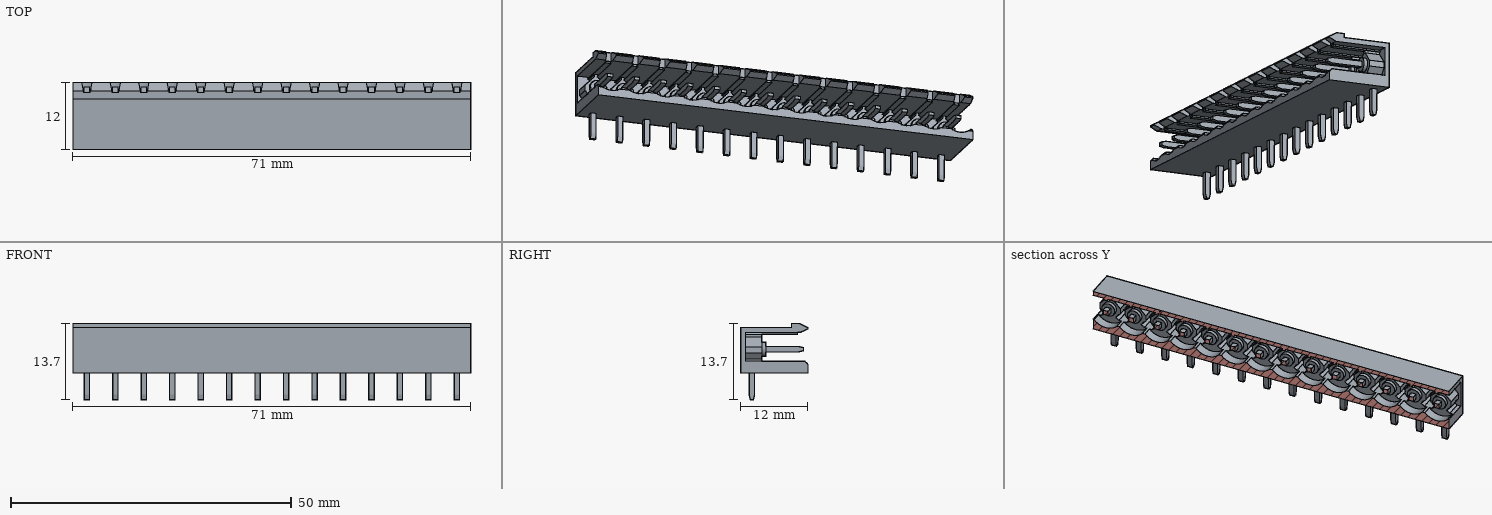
import cadquery as cq


length = 71.0
pole_count = 14
pin_pitch = 5.08
first_pin_x = (length - (pole_count - 1) * pin_pitch) / 2

depth = 12.0
front_wall = 0.85
floor_z = 2.1
ceiling_z = 7.25
roof_z = 8.2
floor_chamfer = 0.6

nose_top_z = 8.9
nose_tip_low_z = 7.9
nose_tip_high_z = 8.1
nose_step_y = 9.0
nose_crest_y = 10.5
nose_under_y = 10.65
notch_end_y = 10.2
notch_inner_width = 1.15
notch_outer_width = 1.85

pin_width = 1.0
pin_tip_width = 0.6
pin_taper = 0.85
pin_axis_z = 4.25
pin_axis_y = 2.0
pin_bottom_z = -4.75
pin_end_y = 11.2

boss_end_y = 3.75
boss_half_width = 2.05
neck_half_width = 0.3
boss_low_half_width = 1.15
boss_flat_low_z = 3.6
boss_flat_high_z = 4.7
boss_low_z = 2.55
boss_high_z = 6.45
foot_half_width = 1.8
collar_radius = 1.3
collar_length = 0.7
trough_radius = 3.1
rib_end_y = 10.15
rib_bottom_z = 6.9
rib_bottom_width = 1.15
rib_top_width = 0.6


def make_housing():
    """Channel profile with the latching nose, extruded over the full length."""
    return (
        cq.Workplane("YZ")
        .polyline([
            (0, 0),
            (depth, 0),
            (depth, floor_z - floor_chamfer),
            (depth - floor_chamfer, floor_z),
            (front_wall, floor_z),
            (front_wall, ceiling_z),
            (nose_under_y, ceiling_z),
            (depth, nose_tip_low_z),
            (depth, nose_tip_high_z),
            (nose_crest_y, nose_top_z),
            (nose_step_y, nose_top_z),
            (nose_step_y, roof_z),
            (0, roof_z),
        ])
        .close()
        .extrude(length)
    )


def prism_along_y(x, half_profile, start_y, end_y):
    """Prism along Y, its section mirrored about the pole at x from (half width, z) points."""
    right_side = [(x + half_width, z) for half_width, z in half_profile]
    left_side = [(x - half_width, z) for half_width, z in reversed(half_profile)]
    return (
        cq.Workplane("XZ", origin=(0, start_y, 0))
        .polyline(right_side + left_side)
        .close()
        .extrude(start_y - end_y)
    )


def cylinder_along_y(x, radius, start_y, end_y):
    """Cylinder around the horizontal pin axis of the pole at x."""
    return (
        cq.Workplane("XZ", origin=(x, start_y, pin_axis_z))
        .circle(radius)
        .extrude(start_y - end_y)
    )


def make_trough(x):
    """Round floor trough around the pin axis, cut only through the floor."""
    floor_space = cq.Workplane("XY").box(length, depth, pin_axis_z, centered=False)
    return cylinder_along_y(x, trough_radius, boss_end_y, depth).intersect(floor_space)


def make_notch(x):
    """Notch through the nose, widening toward its tip."""
    inner = notch_inner_width / 2
    outer = notch_outer_width / 2
    return (
        cq.Workplane("XY", origin=(0, 0, ceiling_z))
        .polyline([
            (x - inner, notch_end_y),
            (x + inner, notch_end_y),
            (x + outer, depth),
            (x - outer, depth),
        ])
        .close()
        .extrude(nose_top_z - ceiling_z)
    )


def make_boss(x):
    """Faceted boss holding the pin bend, with a flared foot on the floor and a neck up to the ceiling."""
    return prism_along_y(x, [
        (foot_half_width, floor_z),
        (boss_low_half_width, boss_low_z),
        (boss_half_width, boss_flat_low_z),
        (boss_half_width, boss_flat_high_z),
        (neck_half_width, boss_high_z),
        (neck_half_width, ceiling_z),
    ], front_wall, boss_end_y)


def make_ceiling_rib(x):
    """Dovetail rib hanging from the ceiling above the pin."""
    return prism_along_y(x, [
        (rib_bottom_width / 2, rib_bottom_z),
        (rib_top_width / 2, ceiling_z),
    ], front_wall, rib_end_y)


def make_pin(x):
    """Bent pin: a leg below the housing and an arm in the channel, both with tapered tips."""
    half = pin_width / 2
    tip = pin_tip_width / 2
    return (
        cq.Workplane("YZ", origin=(x - half, 0, 0))
        .polyline([
            (pin_axis_y - tip, pin_bottom_z),
            (pin_axis_y + tip, pin_bottom_z),
            (pin_axis_y + half, pin_bottom_z + pin_taper),
            (pin_axis_y + half, pin_axis_z - half),
            (pin_end_y - pin_taper, pin_axis_z - half),
            (pin_end_y, pin_axis_z - tip),
            (pin_end_y, pin_axis_z + tip),
            (pin_end_y - pin_taper, pin_axis_z + half),
            (pin_axis_y - half, pin_axis_z + half),
            (pin_axis_y - half, pin_bottom_z + pin_taper),
        ])
        .close()
        .extrude(pin_width)
    )


def make_collar(x):
    """Round collar between the boss and the free arm of the pin."""
    return cylinder_along_y(x, collar_radius, boss_end_y, boss_end_y + collar_length)


pole_positions = [first_pin_x + pole * pin_pitch for pole in range(pole_count)]
cut_features = [make_trough, make_notch]
added_features = [make_boss, make_ceiling_rib, make_collar, make_pin]

cutters = [make(x).val() for x in pole_positions for make in cut_features]
additions = [make(x).val() for x in pole_positions for make in added_features]

housing = make_housing().val().cut(*cutters)
result = cq.Workplane(housing.fuse(*additions).Solids()[0])